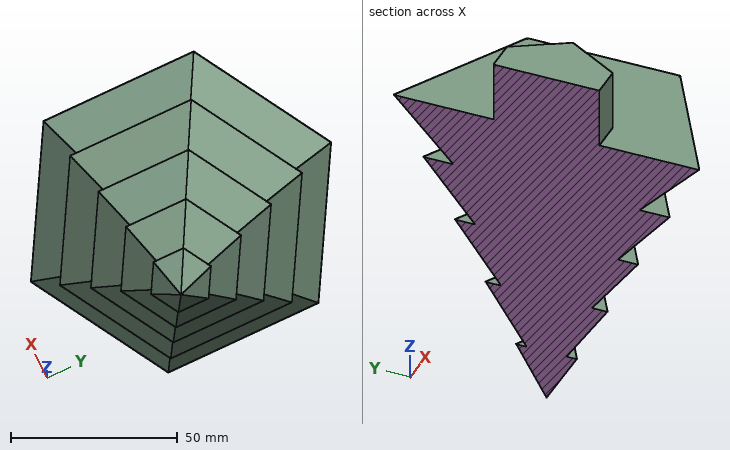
import math

import cadquery as cq

HEAD_CORNER_RADIUS = 20.0
HEAD_HEIGHT = 20.0

TIER_HEIGHT = 20.0
TIERS = [
    (50.0, 40.0),
    (40.3, 36.0),
    (30.0, 33.0),
    (20.0, 30.0),
]

TIP_CORNER_RADIUS = 10.0
TIP_TAPER = 27.0

HEXAGON_SIDES = 6
CORNER_ON_X = 0.0
CORNER_ON_Y = 90.0
APOTHEM_RATIO = math.cos(math.pi / HEXAGON_SIDES)


def hexagon_points(corner_radius, first_corner_angle):
    """Corners of a regular hexagon centred on the axis."""
    points = []
    for corner in range(HEXAGON_SIDES):
        angle = math.radians(first_corner_angle + corner * 360.0 / HEXAGON_SIDES)
        points.append((corner_radius * math.cos(angle), corner_radius * math.sin(angle)))
    return points


def planar_face(points):
    """Flat polygonal face through the given 3D points."""
    outline = cq.Wire.makePolygon([cq.Vector(*point) for point in points], close=True)
    return cq.Face.makeFromWires(outline)


def make_head():
    """Hexagonal prism with corners on the X axis, standing on z = 0."""
    outline = hexagon_points(HEAD_CORNER_RADIUS, CORNER_ON_X)
    return cq.Workplane("XY").polyline(outline).close().extrude(HEAD_HEIGHT)


def make_tier(corner_radius, taper, top_z):
    """Hexagonal frustum with corners on the Y axis, narrowing downward."""
    bottom_radius = corner_radius - TIER_HEIGHT * math.tan(math.radians(taper)) / APOTHEM_RATIO
    return (
        cq.Workplane("XY", origin=(0, 0, top_z))
        .polyline(hexagon_points(corner_radius, CORNER_ON_Y))
        .close()
        .workplane(offset=-TIER_HEIGHT)
        .polyline(hexagon_points(bottom_radius, CORNER_ON_Y))
        .close()
        .loft(ruled=True)
    )


def make_tip(top_z):
    """Hexagonal pyramid pointing down, its height set by the taper."""
    tip_height = TIP_CORNER_RADIUS * APOTHEM_RATIO / math.tan(math.radians(TIP_TAPER))
    apex = (0.0, 0.0, top_z - tip_height)
    corners = [(x, y, top_z) for x, y in hexagon_points(TIP_CORNER_RADIUS, CORNER_ON_Y)]
    faces = [planar_face(corners)]
    for index, corner in enumerate(corners):
        previous_corner = corners[index - 1]
        faces.append(planar_face([previous_corner, corner, apex]))
    return cq.Workplane(cq.Solid.makeSolid(cq.Shell.makeShell(faces)))


result = make_head()
for level, (radius, taper_angle) in enumerate(TIERS):
    result = result.union(make_tier(radius, taper_angle, -level * TIER_HEIGHT))
result = result.union(make_tip(-len(TIERS) * TIER_HEIGHT))